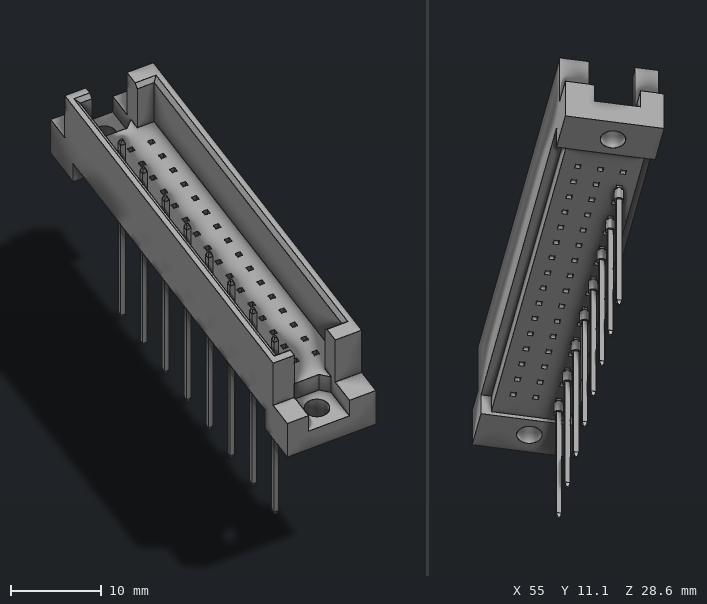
import cadquery as cq

LENGTH = 55.0
WIDTH = 11.1
HEIGHT = 11.6
SHROUD_LENGTH = 48.4
FLANGE_TOP = 5.15
BASE_BOTTOM = 0.5
SIDE_RECESS_TOP = 2.8
SIDE_RECESS_DEPTH = 1.15
FOOT_SPACING = 44.55

CAVITY_BACK_WALL = 1.2
CAVITY_FRONT_WALL = 1.15
CAVITY_BACK_LENGTH = 43.55
CAVITY_FRONT_LENGTH = 45.55
CAVITY_CHAMFER = 0.5

SLOT_FLOOR = SIDE_RECESS_TOP
SLOT_WIDTH = 5.1
SLOT_CENTER_Y = -0.35
SLOT_CORNER = 1.0
MOUNT_HOLE_DIAMETER = 2.8
MOUNT_HOLE_SPACING = 49.4

COLUMNS = 16
ROWS = 3
GRID_LENGTH = 38.1
PITCH = GRID_LENGTH / (COLUMNS - 1)
CONTACT_WIDTH = 0.6

PIN_TOP = 9.95
PIN_LENGTH = 26.95
PIN_TIP_LENGTH = 0.5
PIN_TIP_WIDTH = 0.3
COLLAR_DIAMETER = 1.05
COLLAR_LENGTH = 1.5
COLLAR_TOP = 0.0

SLOT_BACK_Y = SLOT_CENTER_Y + SLOT_WIDTH / 2
SLOT_FRONT_Y = SLOT_CENTER_Y - SLOT_WIDTH / 2


def column_x(column):
    return (column - (COLUMNS - 1) / 2) * PITCH


def row_y(row):
    return (row - (ROWS - 1) / 2) * PITCH


def box(length, y_min, y_max, z_min, z_max):
    """Block centred on x = 0, between the given y and z limits."""
    return (
        cq.Workplane("XY", origin=(0, (y_min + y_max) / 2, z_min))
        .rect(length, y_max - y_min)
        .extrude(z_max - z_min)
    )


def outer_block():
    """Flange with two feet and the narrower shroud above it."""
    block = box(LENGTH, -WIDTH / 2, WIDTH / 2, 0, FLANGE_TOP)
    block = block.union(box(SHROUD_LENGTH, -WIDTH / 2, WIDTH / 2, FLANGE_TOP, HEIGHT))
    block = block.cut(box(FOOT_SPACING, -WIDTH / 2, WIDTH / 2, 0, BASE_BOTTOM))
    recess_inner_y = WIDTH / 2 - SIDE_RECESS_DEPTH
    block = block.cut(box(FOOT_SPACING, -WIDTH / 2, -recess_inner_y, 0, SIDE_RECESS_TOP))
    return block.cut(box(FOOT_SPACING, recess_inner_y, WIDTH / 2, 0, SIDE_RECESS_TOP))


def cavity_pocket(length, y_min, y_max):
    """Rectangular pocket down to the cavity floor, flared by a chamfer at the rim."""
    pocket = box(length, y_min, y_max, FLANGE_TOP, HEIGHT)
    flare = (
        cq.Workplane("XY", origin=(0, (y_min + y_max) / 2, HEIGHT))
        .rect(length + 2 * CAVITY_CHAMFER, y_max - y_min + 2 * CAVITY_CHAMFER)
        .workplane(offset=-CAVITY_CHAMFER)
        .rect(length, y_max - y_min)
        .loft(ruled=True)
    )
    return pocket.union(flare)


def cavity():
    """Keyed cavity: shorter at the back, longer at the front, open through both ends between."""
    back_y = WIDTH / 2 - CAVITY_BACK_WALL
    front_y = -WIDTH / 2 + CAVITY_FRONT_WALL
    back = cavity_pocket(CAVITY_BACK_LENGTH, SLOT_CENTER_Y, back_y)
    front = cavity_pocket(CAVITY_FRONT_LENGTH, front_y, SLOT_CENTER_Y)
    back = back.intersect(box(LENGTH, SLOT_BACK_Y, WIDTH / 2, FLANGE_TOP, HEIGHT))
    front = front.intersect(box(LENGTH, -WIDTH / 2, SLOT_FRONT_Y, FLANGE_TOP, HEIGHT))
    end_gap = box(LENGTH, SLOT_FRONT_Y, SLOT_BACK_Y, FLANGE_TOP, HEIGHT)
    return back.union(front).union(end_gap)


def mounting_slot(side):
    """Open-ended slot with chamfered inner corners; side is -1 or +1 along x."""
    depth = (LENGTH - FOOT_SPACING) / 2
    return (
        cq.Workplane("XY", origin=(side * (LENGTH - depth) / 2, SLOT_CENTER_Y, SLOT_FLOOR))
        .rect(depth, SLOT_WIDTH)
        .extrude(FLANGE_TOP - SLOT_FLOOR)
        .edges("|Z and <X" if side > 0 else "|Z and >X")
        .chamfer(SLOT_CORNER)
    )


def mounting_holes():
    """Screw holes through the floors of both slots."""
    return (
        cq.Workplane("XY", origin=(0, SLOT_CENTER_Y, 0))
        .rarray(MOUNT_HOLE_SPACING, 0.55, 2, 1)
        .circle(MOUNT_HOLE_DIAMETER / 2)
        .extrude(SLOT_FLOOR)
    )


def contact_holes():
    """Square through-holes for the full contact grid."""
    return (
        cq.Workplane("XY", origin=(0, 0, BASE_BOTTOM))
        .rarray(PITCH, PITCH, COLUMNS, ROWS)
        .rect(CONTACT_WIDTH, CONTACT_WIDTH)
        .extrude(FLANGE_TOP - BASE_BOTTOM)
    )


def make_housing():
    housing = outer_block().cut(cavity())
    for side in (-1, 1):
        housing = housing.cut(mounting_slot(side))
    return housing.cut(mounting_holes()).cut(contact_holes())


def pin_tip(z, direction):
    """Tapered square tip that starts at height z and points up (+1) or down (-1)."""
    return (
        cq.Workplane("XY", origin=(0, 0, z))
        .rect(CONTACT_WIDTH, CONTACT_WIDTH)
        .workplane(offset=direction * PIN_TIP_LENGTH)
        .rect(PIN_TIP_WIDTH, PIN_TIP_WIDTH)
        .loft(ruled=True)
    )


def make_pin(x, y):
    """Square contact pin with tapered ends and a round collar below the housing."""
    shank_top = PIN_TOP - PIN_TIP_LENGTH
    shank_length = PIN_LENGTH - 2 * PIN_TIP_LENGTH
    shank_bottom = shank_top - shank_length
    shank = (
        cq.Workplane("XY", origin=(0, 0, shank_bottom))
        .rect(CONTACT_WIDTH, CONTACT_WIDTH)
        .extrude(shank_length)
    )
    collar = (
        cq.Workplane("XY", origin=(0, 0, COLLAR_TOP))
        .circle(COLLAR_DIAMETER / 2)
        .extrude(-COLLAR_LENGTH)
    )
    pin = shank.union(pin_tip(shank_top, 1)).union(pin_tip(shank_bottom, -1)).union(collar)
    return pin.translate((x, y, 0))


housing = make_housing()

pins = [make_pin(column_x(column), row_y(0)) for column in range(1, COLUMNS, 2)]

result = cq.Compound.makeCompound([housing.solids().val(), *[pin.solids().val() for pin in pins]])